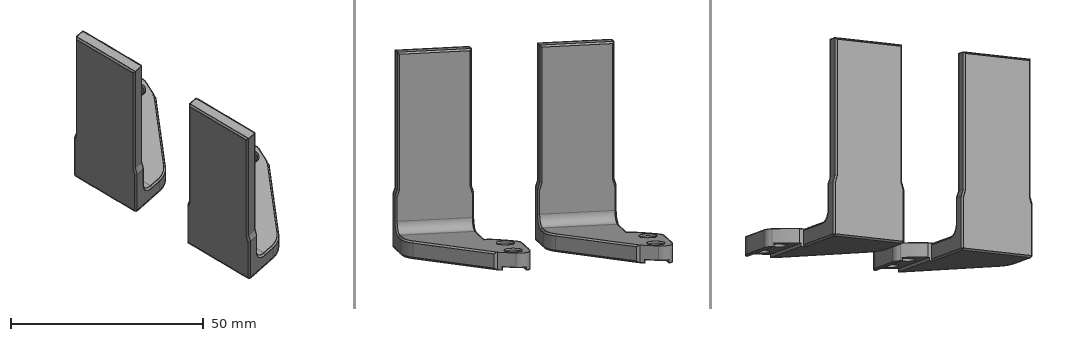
import cadquery as cq
import math

overall_length = 67.25
bracket_length = 29.25
bracket_pitch = overall_length - bracket_length
bracket_xs = [0.0, bracket_pitch]

tolerance = 0.001
cos_45 = math.sqrt(0.5)

body_left = 8.3
body_right = bracket_length
body_width = body_right - body_left
body_depth = 32.15
foot_height = 4.7
blade_thickness = 3.5
blade_height = 52.6
inner_radius = 3.0
edge_chamfer = 0.5

neck_inset = 0.6
neck_start_z = 14.25
neck_end_z = 16.15

slant_start_y = 12.5
slant_angle = math.radians(45)
slant_run = body_depth - slant_start_y
slant_radius = 7.0

tab_depth = 34.8
tab_corner_radius = 3.0
tab_near_y = 16.5
tab_near_x = 7.2
tab_lower_corner_y = 22.45
tab_lower_turn = math.radians(50)
tab_lower_sagitta = 0.2
tab_upper_slope = math.radians(26)
tab_root = body_left + edge_chamfer

hole_diameter = 3.9
hole_chamfer = 0.4
hole_x = 4.25
hole_ys = [21.9, 30.85]

groove_left = 1.5
groove_right = 7.6
groove_depth = 0.9


def is_rim_edge(edge):
    """True for the body's outer edges, false for creases, blade ends and corners inside the foot."""
    middle = edge.Center()
    start = edge.startPoint()
    end = edge.endPoint()
    span = end - start
    on_front = abs(middle.y) < tolerance
    on_top = abs(middle.z - blade_height) < tolerance
    along_x = abs(span.y) < tolerance and abs(span.z) < tolerance
    along_y = abs(span.x) < tolerance and abs(span.z) < tolerance
    along_z = abs(span.x) < tolerance and abs(span.y) < tolerance
    if on_front:
        return True
    if along_x:
        return on_top
    if along_y:
        return middle.z < foot_height + tolerance
    if along_z:
        return middle.z > foot_height
    return True


def make_l_profile():
    """L section with a rounded inner corner, spanning the full body width."""
    return (
        cq.Workplane("YZ", origin=(body_left, 0, 0))
        .moveTo(0, 0)
        .lineTo(body_depth, 0)
        .lineTo(body_depth, foot_height)
        .lineTo(blade_thickness + inner_radius, foot_height)
        .radiusArc((blade_thickness, foot_height + inner_radius), inner_radius)
        .lineTo(blade_thickness, blade_height)
        .lineTo(0, blade_height)
        .close()
        .extrude(body_width)
    )


def make_front_outline():
    """Front silhouette of the body, narrower above the neck."""
    return (
        cq.Workplane("XZ")
        .moveTo(body_left, 0)
        .lineTo(body_right, 0)
        .lineTo(body_right, neck_start_z)
        .lineTo(body_right - neck_inset, neck_end_z)
        .lineTo(body_right - neck_inset, blade_height)
        .lineTo(body_left + neck_inset, blade_height)
        .lineTo(body_left + neck_inset, neck_end_z)
        .lineTo(body_left, neck_start_z)
        .close()
        .extrude(-body_depth)
    )


def make_foot_outline():
    """Plan of the foot with its slanted side and the rounded end of the slant."""
    tangent = slant_radius * math.tan(slant_angle / 2)
    diagonal = tangent * cos_45
    return (
        cq.Workplane("XY")
        .moveTo(body_left, 0)
        .lineTo(body_right, 0)
        .lineTo(body_right, slant_start_y - tangent)
        .radiusArc((body_right - diagonal, slant_start_y + diagonal), -slant_radius)
        .lineTo(body_right - slant_run, body_depth)
        .lineTo(body_left, body_depth)
        .close()
        .extrude(blade_height)
    )


def make_body():
    body = make_l_profile().intersect(make_front_outline()).intersect(make_foot_outline())
    rim = [edge for edge in body.edges().vals() if is_rim_edge(edge)]
    return body.newObject(rim).chamfer(edge_chamfer)


def make_tab():
    radius = tab_corner_radius
    upper_center_y = tab_depth - radius
    diagonal = radius * cos_45
    upper_end_x = radius + radius * math.sin(tab_upper_slope)
    upper_end_y = upper_center_y + radius * math.cos(tab_upper_slope)
    root_y = upper_end_y - (tab_root - upper_end_x) * math.tan(tab_upper_slope)
    lower_end_x = radius - radius * math.cos(tab_lower_turn)
    lower_end_y = tab_lower_corner_y - radius * math.sin(tab_lower_turn)
    return (
        cq.Workplane("XY")
        .moveTo(0, tab_lower_corner_y)
        .lineTo(0, upper_center_y)
        .threePointArc((radius - diagonal, upper_center_y + diagonal), (upper_end_x, upper_end_y))
        .lineTo(tab_root, root_y)
        .lineTo(tab_root, tab_near_y)
        .lineTo(tab_near_x, tab_near_y)
        .sagittaArc((lower_end_x, lower_end_y), tab_lower_sagitta)
        .radiusArc((0, tab_lower_corner_y), radius)
        .close()
        .extrude(foot_height)
    )


def make_groove():
    return cq.Workplane("XY").box(
        groove_right - groove_left, tab_depth, groove_depth, centered=False
    ).translate((groove_left, 0, 0))


def make_screw_hole(y):
    """Cutter for one through hole with a chamfered upper mouth."""
    radius = hole_diameter / 2
    shaft = cq.Workplane("XY").circle(radius).extrude(foot_height)
    mouth = (
        cq.Workplane("XY", origin=(0, 0, foot_height))
        .circle(radius + hole_chamfer)
        .workplane(offset=-hole_chamfer)
        .circle(radius)
        .loft()
    )
    return shaft.union(mouth).translate((hole_x, y, 0))


def make_bracket():
    tab = make_tab().cut(make_groove())
    bracket = make_body().union(tab)
    for y in hole_ys:
        bracket = bracket.cut(make_screw_hole(y))
    return bracket


brackets = [make_bracket().translate((x, 0, 0)).val() for x in bracket_xs]

result = cq.Compound.makeCompound(brackets)